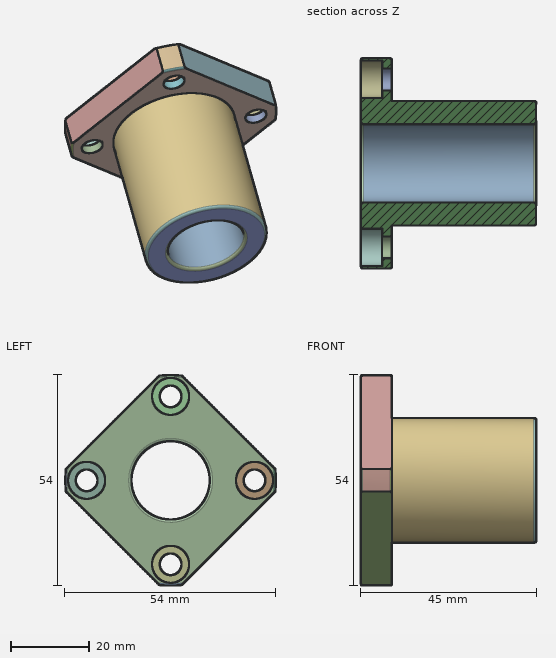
import cadquery as cq

length = 45.0
body_diameter = 32.0
bore_diameter = 20.0
body_end_radius = 0.7
bore_mouth_radius = 0.75

flange_thickness = 8.0
flange_diameter = 54.0
flange_across_flats = 42.0
flange_rim_radius = 0.5

hole_count = 4
hole_circle_diameter = 43.0
hole_diameter = 5.5
counterbore_diameter = 9.5
counterbore_depth = 5.5


def cylinder_along_x(diameter, depth):
    """Cylinder on the X axis from X = 0, growing towards +X."""
    return cq.Workplane("YZ").circle(diameter / 2).extrude(depth)


def make_flange():
    """Round-edged disc cut down to a square turned by 45 degrees."""
    disc = cylinder_along_x(flange_diameter, flange_thickness).edges().fillet(flange_rim_radius)
    square = (
        cq.Workplane("YZ")
        .transformed(rotate=(0, 0, 45))
        .rect(flange_across_flats, flange_across_flats)
        .extrude(flange_thickness)
    )
    return disc.intersect(square)


def make_body():
    """Round body with a rounded free end."""
    return cylinder_along_x(body_diameter, length).faces(">X").edges().fillet(body_end_radius)


def make_bore():
    """Through bore with a rounded mouth at both ends."""
    radius = bore_diameter / 2
    mouth = bore_mouth_radius
    return (
        cq.Workplane("XY")
        .moveTo(0, 0)
        .lineTo(0, radius + mouth)
        .radiusArc((mouth, radius), -mouth)
        .lineTo(length - mouth, radius)
        .radiusArc((length, radius + mouth), -mouth)
        .lineTo(length, 0)
        .close()
        .revolve(360, (0, 0, 0), (1, 0, 0))
    )


def cut_mounting_holes(part):
    """Holes through the flange, counterbored from the flange face."""
    hole = cylinder_along_x(hole_diameter, flange_thickness)
    counterbore = cylinder_along_x(counterbore_diameter, counterbore_depth)
    cutter = hole.union(counterbore).translate((0, 0, hole_circle_diameter / 2))
    for index in range(hole_count):
        angle = index * 360 / hole_count
        part = part.cut(cutter.rotate((0, 0, 0), (1, 0, 0), angle))
    return part


bushing = make_flange().union(make_body()).cut(make_bore())
result = cut_mounting_holes(bushing)